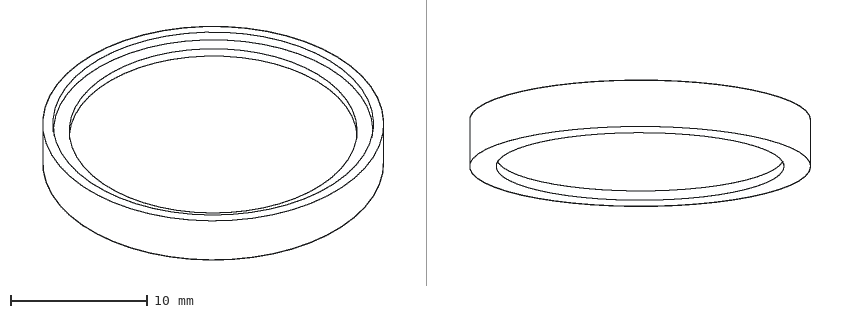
import cadquery as cq

outer_diameter = 25.0
height = 3.5
bore_diameter = 23.5
aperture_diameter = 21.1
lip_thickness = 0.7

ring_clearance = 0.05
ring_recess = 0.65
ring_thickness = 0.65

ring_bottom = height - ring_recess - ring_thickness
filter_thickness = ring_bottom - lip_thickness


def disc(diameter, thickness, bottom):
    """Solid disc centred on the Z axis, standing on the given height."""
    return cq.Workplane("XY").workplane(offset=bottom).circle(diameter / 2).extrude(thickness)


def make_housing():
    """Cylindrical cell whose bore stops at a narrow lip around the aperture."""
    body = disc(outer_diameter, height, 0)
    bore = disc(bore_diameter, height - lip_thickness, lip_thickness)
    aperture = disc(aperture_diameter, lip_thickness, 0)
    return body.cut(bore).cut(aperture)


def make_filter():
    """Plain optical disc seated on the housing lip."""
    return disc(bore_diameter, filter_thickness, lip_thickness)


def make_retaining_ring():
    """Flat ring that holds the filter down, with the same opening as the aperture."""
    ring_diameter = bore_diameter - 2 * ring_clearance
    blank = disc(ring_diameter, ring_thickness, ring_bottom)
    opening = disc(aperture_diameter, ring_thickness, ring_bottom)
    return blank.cut(opening)


housing = make_housing()
optical_filter = make_filter()
retaining_ring = make_retaining_ring()

result = cq.Compound.makeCompound([
    housing.val(),
    optical_filter.val(),
    retaining_ring.val(),
])